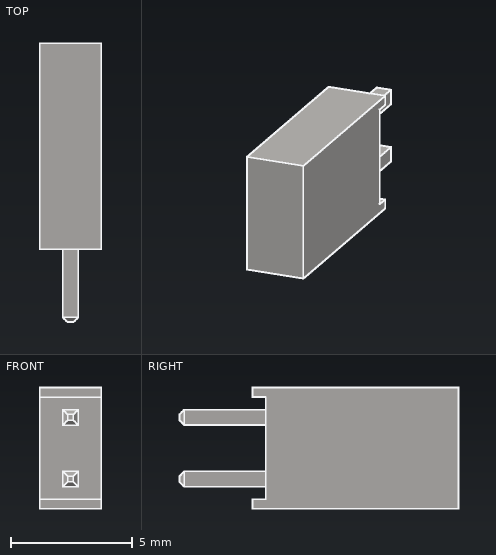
import cadquery as cq

overall_length = 11.5
housing_length = 8.5
housing_width = 2.54
housing_height = 5.0

recess_depth = 0.55
lip_thickness = 0.4

pin_pitch = 2.54
pin_side = 0.64
tip_length = 0.2
tip_side = 0.24

recess_floor_y = recess_depth
pin_end_y = housing_length - overall_length
taper_start_y = pin_end_y + tip_length


def make_housing():
    """Block with a full-width recess across its pin end."""
    block = cq.Workplane("XY").box(
        housing_width, housing_length, housing_height, centered=(True, False, True)
    )
    recess = cq.Workplane("XY").box(
        housing_width,
        recess_depth,
        housing_height - 2 * lip_thickness,
        centered=(True, False, True),
    )
    return block.cut(recess)


def make_pin(center_z):
    """Square pin rising from the recess floor and tapering to a flat tip."""
    shank = (
        cq.Workplane("XZ", origin=(0, recess_floor_y, center_z))
        .rect(pin_side, pin_side)
        .extrude(recess_floor_y - taper_start_y)
    )
    tip = (
        cq.Workplane("XZ", origin=(0, taper_start_y, center_z))
        .rect(pin_side, pin_side)
        .workplane(offset=tip_length)
        .rect(tip_side, tip_side)
        .loft(ruled=True)
    )
    return shank.union(tip)


result = make_housing()
for center_z in (-pin_pitch / 2, pin_pitch / 2):
    result = result.union(make_pin(center_z))